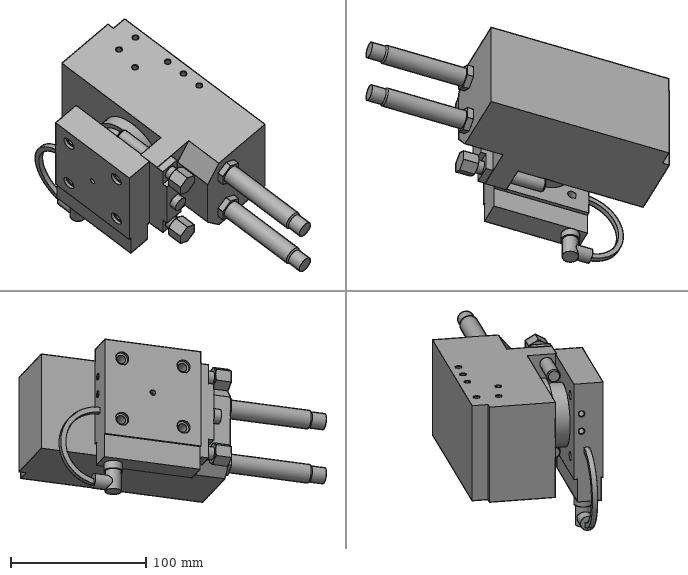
import cadquery as cq
import math


height = 75.0
mid_z = height / 2
axis_x = 72.0
overall_depth = 105.0
housing_front_y = 43.3

housing_length = 148.0
back_step_length = 5.6
back_step_depth = 12.0
bevel_depth = 12.0
bevel_height = 14.6

finger_start_x = 100.5
finger_end_x = 117.5
finger_front_y = 21.4
bar_depth = 15.0
bar_drop = 0.4
bar_end_x = 123.2
bar_middle_end_x = 127.2
bar_middle_height = 44.4
stop_y = finger_front_y + bar_depth / 2

stop_offset = 30.0
stop_diameter = 10.0
stop_tip_diameter = 8.38
stop_tip_length = 1.2
stop_start_x = 73.4
stop_nut_start_x = 128.7
stop_nut_end_x = 141.0
stop_nut_flats = 15.0

clamp_neck_diameter = 4.92
clamp_head_diameter = 11.0
clamp_head_start_x = 128.6
clamp_head_end_x = 134.0

shock_offset = 21.5
shock_y = 63.0
shock_nut_flats = 17.0
shock_nut_length = 4.8
shock_diameter = 14.0
shock_shoulder_x = 215.7
shock_shoulder_length = 1.3
shock_end_diameter = 12.16
shock_end_x = 228.0

thread_core = 4.13
thread_mouth = 4.92
thread_depth = 10.0
housing_row_y = 97.9
housing_holes = [(x, housing_row_y) for x in (23.3, 56.0, 72.0, 88.0)] + [(22.0, 81.5), (42.0, 77.6)]
plate_side_hole_y = 16.3
plate_side_hole_heights = (mid_z, mid_z + 13.7)

flange_diameter = 56.0
flange_front_y = 34.3
hub_diameter = 48.0
plate_width = 75.0
plate_thickness = 22.1
plate_left_x = axis_x - plate_width / 2
mount_pitch = 48.0
mount_hole = 6.65
mount_bore = 10.0
mount_bore_depth = 2.5
dowel_diameter = 4.0
dowel_depth = 5.0

block_front_y = 1.4
block_depth = 18.0
block_height = 18.0
plug_x = 45.4
plug_y = 12.6
collar_diameter = 14.0
collar_height = 6.0
plug_diameter = 12.0
plug_bottom_z = -40.0
outlet_diameter = 11.0
outlet_z = -33.6
outlet_start_x = 29.6
cable_size = 4.0
cable_radius = 28.9
cable_center_z = -6.2


def box(x0, x1, y0, y1, z0, z1):
    """Axis-parallel block between two opposite corners."""
    return cq.Workplane("XY").box(x1 - x0, y1 - y0, z1 - z0, centered=False).translate((x0, y0, z0))


def rod_x(diameter, x0, x1, y, z):
    """Round rod along X."""
    return cq.Workplane("YZ", origin=(x0, y, z)).circle(diameter / 2).extrude(x1 - x0)


def rod_y(diameter, y0, y1, x, z):
    """Round rod along Y."""
    return cq.Workplane("XZ", origin=(x, y0, z)).circle(diameter / 2).extrude(y0 - y1)


def rod_z(diameter, z0, z1, x, y):
    """Round rod along Z."""
    return cq.Workplane("XY", origin=(x, y, z0)).circle(diameter / 2).extrude(z1 - z0)


def cone_x(start_diameter, end_diameter, x0, x1, y, z):
    """Cone frustum along X."""
    solid = cq.Solid.makeCone(
        start_diameter / 2, end_diameter / 2, x1 - x0, cq.Vector(x0, y, z), cq.Vector(1, 0, 0)
    )
    return cq.Workplane(solid)


def hex_nut(flats, x0, x1, y, z):
    """Hexagon along X with flats facing front and back and corners up and down."""
    corners = flats / math.cos(math.pi / 6)
    profile = cq.Workplane("YZ", origin=(x0, y, z)).transformed(rotate=(0, 0, 90)).polygon(6, corners)
    return profile.extrude(x1 - x0)


def chamfered_nut(flats, x0, x1, y, z):
    """Hexagon nut whose corners are turned off at 30 degrees on the inner end."""
    rim = flats / 2
    corner_radius = rim / math.cos(math.pi / 6)
    cut = (corner_radius - rim) * math.tan(math.pi / 6)
    turned = (
        cq.Workplane("XY", origin=(0, y, z))
        .polyline([
            (x0, 0), (x0, rim), (x0 + cut, corner_radius),
            (x1, corner_radius), (x1, 0),
        ])
        .close()
        .revolve(360, (0, 0, 0), (1, 0, 0))
    )
    return hex_nut(flats, x0, x1, y, z).intersect(turned)


def threaded_hole(plane):
    """Cutter for a tapped hole with a 45 degree countersink, running against the plane's normal."""
    sink = (thread_mouth - thread_core) / 2
    core = cq.Workplane(plane).circle(thread_core / 2).extrude(-thread_depth)
    mouth = cq.Workplane(plane).circle(thread_mouth / 2).extrude(-sink, taper=45)
    return core.union(mouth)


def make_block():
    """Housing block with a stepped back corner and two bevels at the right end."""
    block = box(0, housing_length, housing_front_y, overall_depth, 0, height)
    block = block.cut(box(0, back_step_length, overall_depth - back_step_depth, overall_depth, 0, height))
    bevel_back_y = housing_front_y + bevel_depth
    for edge_z, inward in ((0, 1), (height, -1)):
        bevel = (
            cq.Workplane("YZ", origin=(finger_end_x, 0, 0))
            .polyline([
                (housing_front_y, edge_z),
                (bevel_back_y, edge_z),
                (housing_front_y, edge_z + inward * bevel_height),
            ])
            .close()
            .extrude(housing_length - finger_end_x)
        )
        block = block.cut(bevel)
    for x, y in housing_holes:
        block = block.cut(threaded_hole(cq.Plane(origin=(x, y, height), xDir=(1, 0, 0), normal=(0, 0, 1))))
    return block


def make_finger():
    """Stop finger in front of the block, with the clamp bar and its screw on the right."""
    finger = box(finger_start_x, finger_end_x, finger_front_y, housing_front_y, 0, height)
    bar_back_y = finger_front_y + bar_depth
    bar = box(finger_end_x, bar_end_x, finger_front_y, bar_back_y, bar_drop, height - bar_drop)
    half = bar_middle_height / 2
    middle = box(bar_end_x, bar_middle_end_x, finger_front_y, bar_back_y, mid_z - half, mid_z + half)
    neck = rod_x(clamp_neck_diameter, bar_middle_end_x, clamp_head_start_x, stop_y, mid_z)
    head = rod_x(clamp_head_diameter, clamp_head_start_x, clamp_head_end_x, stop_y, mid_z)
    return finger.union(bar).union(middle).union(neck).union(head)


def make_stop_screw(z):
    """Stop screw through the finger, with a coned tip and a nut on its outer end."""
    body_start_x = stop_start_x + stop_tip_length
    tip = cone_x(stop_tip_diameter, stop_diameter, stop_start_x, body_start_x, stop_y, z)
    body = rod_x(stop_diameter, body_start_x, stop_nut_end_x, stop_y, z)
    nut = chamfered_nut(stop_nut_flats, stop_nut_start_x, stop_nut_end_x, stop_y, z)
    return tip.union(body).union(nut)


def make_shock_absorber(z):
    """Shock absorber on the right end: lock nut, barrel, coned shoulder and thinner end."""
    nut_end_x = housing_length + shock_nut_length
    end_start_x = shock_shoulder_x + shock_shoulder_length
    nut = hex_nut(shock_nut_flats, housing_length, nut_end_x, shock_y, z)
    barrel = rod_x(shock_diameter, nut_end_x, shock_shoulder_x, shock_y, z)
    shoulder = cone_x(shock_diameter, shock_end_diameter, shock_shoulder_x, end_start_x, shock_y, z)
    end = rod_x(shock_end_diameter, end_start_x, shock_end_x, shock_y, z)
    return nut.union(barrel).union(shoulder).union(end)


def make_housing():
    housing = make_block().union(make_finger())
    for side in (-1, 1):
        housing = housing.union(make_stop_screw(mid_z + side * stop_offset))
        housing = housing.union(make_shock_absorber(mid_z + side * shock_offset))
    return housing


def make_plate():
    """Mounting plate with its four counterbored holes, dowel hole and side holes."""
    plate = box(plate_left_x, plate_left_x + plate_width, 0, plate_thickness, 0, height)
    for side_x in (-1, 1):
        for side_z in (-1, 1):
            x = axis_x + side_x * mount_pitch / 2
            z = mid_z + side_z * mount_pitch / 2
            plate = plate.cut(rod_y(mount_hole, 0, plate_thickness, x, z))
            plate = plate.cut(rod_y(mount_bore, 0, mount_bore_depth, x, z))
    plate = plate.cut(rod_y(dowel_diameter, 0, dowel_depth, axis_x, mid_z))
    for z in plate_side_hole_heights:
        face = cq.Plane(origin=(plate_left_x, plate_side_hole_y, z), xDir=(0, 1, 0), normal=(-1, 0, 0))
        plate = plate.cut(threaded_hole(face))
    plate_right_x = plate_left_x + plate_width
    relief = box(finger_start_x, plate_right_x, finger_front_y, plate_thickness, 0, height)
    return plate.cut(relief)


def make_hub():
    """Stepped hub between the housing face and the plate."""
    flange = rod_y(flange_diameter, flange_front_y, housing_front_y, axis_x, mid_z)
    return flange.union(rod_y(hub_diameter, plate_thickness, flange_front_y, axis_x, mid_z))


def make_plug():
    """Cable block under the plate with the angled plug below it."""
    block = box(
        plate_left_x, plate_left_x + plate_width,
        block_front_y, block_front_y + block_depth, -block_height, 0,
    )
    collar_bottom_z = -block_height - collar_height
    collar = rod_z(collar_diameter, collar_bottom_z, -block_height, plug_x, plug_y)
    stem = rod_z(plug_diameter, plug_bottom_z, collar_bottom_z, plug_x, plug_y)
    outlet = rod_x(outlet_diameter, outlet_start_x, plug_x, plug_y, outlet_z)
    return block.union(collar).union(stem).union(outlet)


def make_cable():
    """Square cable bent in a half circle from the plate's left side down to the plug outlet."""
    return (
        cq.Workplane("YZ", origin=(plate_left_x, plug_y, cable_center_z))
        .center(0, cable_radius)
        .rect(cable_size, cable_size)
        .revolve(180, (0, -cable_radius, 0), (-1, -cable_radius, 0))
    )


def make_rotor():
    return make_plate().union(make_hub()).union(make_plug()).union(make_cable())


housing = make_housing()
rotor = make_rotor()
result = cq.Compound.makeCompound([housing.val(), rotor.val()])